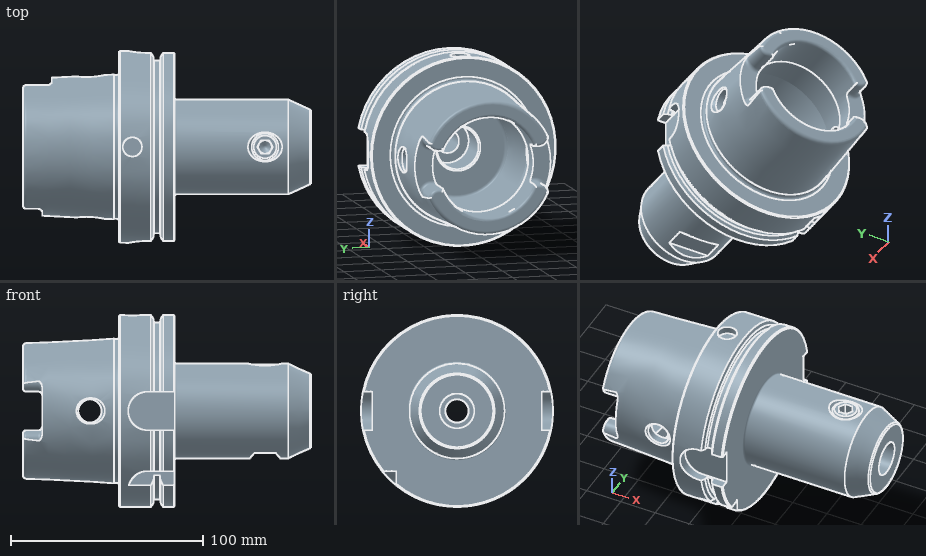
import cadquery as cq
import math

SHANK_END_X = -50.0
TIP_X = 100.0
FLANGE_WIDTH = 29.0

TAPER_BIG_R = 75.46 / 2
TAPER_BIG_X = -2.6
TAPER_SLOPE = 0.05
TAPER_SMALL_R = TAPER_BIG_R - TAPER_SLOPE * (TAPER_BIG_X - SHANK_END_X)
RELIEF_DEPTH = 0.2
FOOT_FILLET = 1.3
FACE_RECESS_R = 39.6
FACE_RECESS_DEPTH = 0.1
MOUTH_ROUND = 1.75
RIM_ROUND = 2.0

FLANGE_R = 50.0
FLANGE_EDGE = 0.6
GROOVE_X = 19.8
GROOVE_R = 46.1
GROOVE_FLOOR_HALF = 1.5
GROOVE_KNEE_HALF = 1.9
GROOVE_MOUTH_HALF = 3.2
GROOVE_BEVEL_DEPTH = 1.9

NOSE_R = 49.5 / 2
NOSE_ROOT_FILLET = 1.0
NOSE_CONE_X = 88.0
NOSE_TIP_R = 19.6
NOSE_TIP_CHAMFER = 0.8

BORE_R = 53.0 / 2
BORE_FLOOR_R = 49.5 / 2
CHAMBER_R = 63.0 / 2
LIP_LENGTH = 19.7
LIP_CONE_LENGTH = 2.9
CHAMBER_END_X = -9.8
CHAMBER_CONE_ANGLE = 15.0
THREAD_R = 22.38 / 2
THREAD_CHAMFER_R = 12.0
THREAD_DEPTH = 20.0
COOLANT_R = 12.0 / 2

TOOL_BORE_R = 18.0 / 2
TOOL_BORE_DEPTH = 50.0
SCREW_X = 76.0
SCREW_R = 14.0 / 2
SCREW_CHAMFER = (14.0 - 11.84) / 2
SCREW_TOP_Z = 24.4
SCREW_BOTTOM_Z = TOOL_BORE_R
SCREW_SINK_R = 17.8 / 2
HEX_FLATS = 7.0
HEX_DEPTH = 6.0
DRILL_POINT_SLOPE = 30.0

FLAT_Z = -21.9
FLAT_HALF = 5.5
FLAT_MOUTH_HALF = 8.0

SLOT_HALF = 10.0
SLOT_DEPTHS = {-1: 10.0, 1: 15.0}
LUG_CORNER_R = 5.0
LUG_FLANK_Y = 32.25
SLOT_FLOOR_FILLET = 2.0

CROSS_HOLE_X = -15.1
CROSS_HOLE_R = 12.0 / 2
CROSS_SINK_R = 7.4
CHIP_HOLE_X = 7.0
CHIP_HOLE_R = 10.0 / 2
CHIP_HOLE_DEPTH = 4.5

KEYWAY_HALF = 10.0
KEYWAY_START_X = 4.8
KEYWAY_FLOOR_Y = 44.0
NOTCH_FLOOR_Y = 31.7
NOTCH_TOP_Z = -31.3

CLEAR = 5.0
EDGE_MARGIN = 1.0


def revolve_about_x(profile):
    return profile.close().revolve(360, (0, 0, 0), (1, 0, 0))


def outer_body():
    relief_r = TAPER_BIG_R - RELIEF_DEPTH
    profile = (
        cq.Workplane("XY")
        .moveTo(SHANK_END_X, 0)
        .lineTo(SHANK_END_X, TAPER_SMALL_R)
        .lineTo(TAPER_BIG_X, TAPER_BIG_R)
        .lineTo(TAPER_BIG_X + RELIEF_DEPTH, relief_r)
        .lineTo(FACE_RECESS_DEPTH - FOOT_FILLET, relief_r)
        .radiusArc((FACE_RECESS_DEPTH, relief_r + FOOT_FILLET), -FOOT_FILLET)
        .lineTo(FACE_RECESS_DEPTH, FACE_RECESS_R)
        .lineTo(0, FACE_RECESS_R)
        .lineTo(0, FLANGE_R - FLANGE_EDGE)
        .lineTo(FLANGE_EDGE, FLANGE_R)
        .lineTo(GROOVE_X - GROOVE_MOUTH_HALF, FLANGE_R)
        .lineTo(GROOVE_X - GROOVE_KNEE_HALF, FLANGE_R - GROOVE_BEVEL_DEPTH)
        .lineTo(GROOVE_X - GROOVE_FLOOR_HALF, GROOVE_R)
        .lineTo(GROOVE_X + GROOVE_FLOOR_HALF, GROOVE_R)
        .lineTo(GROOVE_X + GROOVE_KNEE_HALF, FLANGE_R - GROOVE_BEVEL_DEPTH)
        .lineTo(GROOVE_X + GROOVE_MOUTH_HALF, FLANGE_R)
        .lineTo(FLANGE_WIDTH - FLANGE_EDGE, FLANGE_R)
        .lineTo(FLANGE_WIDTH, FLANGE_R - FLANGE_EDGE)
        .lineTo(FLANGE_WIDTH, NOSE_R + NOSE_ROOT_FILLET)
        .radiusArc((FLANGE_WIDTH + NOSE_ROOT_FILLET, NOSE_R), -NOSE_ROOT_FILLET)
        .lineTo(NOSE_CONE_X, NOSE_R)
        .lineTo(TIP_X - NOSE_TIP_CHAMFER, NOSE_TIP_R)
        .lineTo(TIP_X, NOSE_TIP_R - NOSE_TIP_CHAMFER)
        .lineTo(TIP_X, 0)
    )
    return revolve_about_x(profile)


def inner_bores():
    lip_x = SHANK_END_X + LIP_LENGTH
    cone_length = (CHAMBER_R - BORE_R) / math.tan(math.radians(CHAMBER_CONE_ANGLE))
    cone_end_x = CHAMBER_END_X + cone_length
    floor_fillet = BORE_R - BORE_FLOOR_R
    floor_x = cone_end_x + floor_fillet
    thread_chamfer = THREAD_CHAMFER_R - THREAD_R
    thread_end_x = floor_x + THREAD_DEPTH
    tool_bore_x = TIP_X - TOOL_BORE_DEPTH
    profile = (
        cq.Workplane("XY")
        .moveTo(SHANK_END_X, 0)
        .lineTo(SHANK_END_X, BORE_R + MOUTH_ROUND)
        .radiusArc((SHANK_END_X + MOUTH_ROUND, BORE_R), -MOUTH_ROUND)
        .lineTo(lip_x, BORE_R)
        .lineTo(lip_x + LIP_CONE_LENGTH, CHAMBER_R)
        .lineTo(CHAMBER_END_X, CHAMBER_R)
        .lineTo(cone_end_x, BORE_R)
        .radiusArc((floor_x, BORE_FLOOR_R), floor_fillet)
        .lineTo(floor_x, THREAD_CHAMFER_R)
        .lineTo(floor_x + thread_chamfer, THREAD_R)
        .lineTo(thread_end_x, THREAD_R)
        .lineTo(thread_end_x, COOLANT_R)
        .lineTo(tool_bore_x, COOLANT_R)
        .lineTo(tool_bore_x, TOOL_BORE_R)
        .lineTo(TIP_X, TOOL_BORE_R)
        .lineTo(TIP_X, 0)
    )
    return revolve_about_x(profile)


def drive_slot(side, depth):
    """Slot through one wall of the shank, with rounded lug corners, floor and mouth edges."""
    inner_y = side * (BORE_R - CLEAR)
    flank_y = side * LUG_FLANK_Y
    tangent_y = side * (LUG_FLANK_Y - LUG_CORNER_R)
    outer_y = side * (TAPER_BIG_R + CLEAR)
    shoulder_z = SLOT_HALF + LUG_CORNER_R
    outer_z = shoulder_z + CLEAR
    bend = side * LUG_CORNER_R
    plane = cq.Workplane("YZ", origin=(SHANK_END_X, 0, 0))
    prism = (
        plane
        .moveTo(inner_y, -SLOT_HALF)
        .lineTo(tangent_y, -SLOT_HALF)
        .radiusArc((flank_y, -shoulder_z), bend)
        .lineTo(flank_y, -outer_z)
        .lineTo(outer_y, -outer_z)
        .lineTo(outer_y, outer_z)
        .lineTo(flank_y, outer_z)
        .lineTo(flank_y, shoulder_z)
        .radiusArc((tangent_y, SLOT_HALF), bend)
        .lineTo(inner_y, SLOT_HALF)
        .close()
        .extrude(depth)
    )
    block = (
        plane
        .center((inner_y + outer_y) / 2, 0)
        .rect(abs(outer_y - inner_y), 2 * outer_z)
        .extrude(depth + CLEAR)
    )
    inside_y = inner_y + side * EDGE_MARGIN
    outside_y = outer_y - side * EDGE_MARGIN
    inside_z = outer_z - EDGE_MARGIN

    def slot_edges(x):
        return cq.selectors.BoxSelector(
            (x - EDGE_MARGIN, inside_y, -inside_z),
            (x + EDGE_MARGIN, outside_y, inside_z),
        )

    lugs = block.cut(prism)
    lugs = lugs.edges(slot_edges(SHANK_END_X + depth)).fillet(SLOT_FLOOR_FILLET)
    lugs = lugs.edges(slot_edges(SHANK_END_X)).fillet(MOUTH_ROUND)
    return block.cut(lugs)


def cone_sink(plane, origin, surface_distance, surface_radius, hole_radius):
    """45 degree countersink reaching surface_radius at surface_distance from the axis."""
    depth = surface_radius - hole_radius
    return (
        cq.Workplane(plane, origin=origin)
        .workplane(offset=surface_distance - depth)
        .circle(hole_radius)
        .workplane(offset=depth + CLEAR)
        .circle(surface_radius + CLEAR)
        .loft(ruled=True)
    )


def cross_hole():
    surface_r = TAPER_BIG_R - TAPER_SLOPE * (TAPER_BIG_X - CROSS_HOLE_X)
    origin = (CROSS_HOLE_X, 0, 0)
    reach = TAPER_BIG_R + CLEAR
    hole = cq.Workplane("XZ", origin=origin).circle(CROSS_HOLE_R).extrude(reach, both=True)
    for plane in ("XZ", "ZX"):
        hole = hole.union(cone_sink(plane, origin, surface_r, CROSS_SINK_R, CROSS_HOLE_R))
    return hole


def chip_hole():
    return (
        cq.Workplane("XY", origin=(CHIP_HOLE_X, 0, FLANGE_R - CHIP_HOLE_DEPTH))
        .circle(CHIP_HOLE_R)
        .extrude(CHIP_HOLE_DEPTH + CLEAR)
    )


def keyway(side, floor_y, centre_z):
    """Round-ended slot, open toward +X, sunk along Y down to floor_y."""
    centre_x = KEYWAY_START_X + KEYWAY_HALF
    height = FLANGE_R + CLEAR - floor_y
    return (
        cq.Workplane("XZ", origin=(0, side * floor_y, 0))
        .moveTo(FLANGE_WIDTH, centre_z - KEYWAY_HALF)
        .lineTo(centre_x, centre_z - KEYWAY_HALF)
        .threePointArc((KEYWAY_START_X, centre_z), (centre_x, centre_z + KEYWAY_HALF))
        .lineTo(FLANGE_WIDTH, centre_z + KEYWAY_HALF)
        .close()
        .extrude(-side * height)
    )


def balancing_flat():
    return (
        cq.Workplane("XZ", origin=(SCREW_X, 0, 0))
        .moveTo(-FLAT_HALF, FLAT_Z)
        .lineTo(FLAT_HALF, FLAT_Z)
        .lineTo(FLAT_MOUTH_HALF, -NOSE_R)
        .lineTo(-FLAT_MOUTH_HALF, -NOSE_R)
        .close()
        .extrude(NOSE_R, both=True)
    )


def screw_hole():
    origin = (SCREW_X, 0, 0)
    hole = cq.Workplane("XY", origin=origin).circle(SCREW_R).extrude(NOSE_R + CLEAR)
    return hole.union(cone_sink("XY", origin, NOSE_R, SCREW_SINK_R, SCREW_R))


def build_holder():
    body = outer_body().cut(inner_bores())
    rim = cq.selectors.RadiusNthSelector(-1)
    body = body.faces("<X").edges(rim).fillet(RIM_ROUND)
    for side, depth in SLOT_DEPTHS.items():
        body = body.cut(drive_slot(side, depth))
    body = body.cut(cross_hole()).cut(chip_hole())
    for side in (-1, 1):
        body = body.cut(keyway(side, KEYWAY_FLOOR_Y, 0))
    body = body.cut(keyway(-1, NOTCH_FLOOR_Y, NOTCH_TOP_Z - KEYWAY_HALF))
    return body.cut(balancing_flat()).cut(screw_hole())


def build_set_screw():
    socket_tip = HEX_FLATS / 2 * math.tan(math.radians(DRILL_POINT_SLOPE))
    hex_corners = HEX_FLATS / math.cos(math.pi / 6)
    screw = (
        cq.Workplane("XY", origin=(SCREW_X, 0, SCREW_BOTTOM_Z))
        .circle(SCREW_R)
        .extrude(SCREW_TOP_Z - SCREW_BOTTOM_Z)
        .faces(">Z")
        .chamfer(SCREW_CHAMFER)
    )
    floor_z = SCREW_TOP_Z - HEX_DEPTH
    socket = (
        cq.Workplane("XY", origin=(SCREW_X, 0, floor_z))
        .polygon(6, hex_corners)
        .extrude(HEX_DEPTH)
    )
    drill_point = cq.Workplane(
        cq.Solid.makeCone(HEX_FLATS / 2, 0, socket_tip, pnt=(SCREW_X, 0, floor_z), dir=(0, 0, -1))
    )
    return screw.cut(socket).cut(drill_point)


holder = build_holder()
set_screw = build_set_screw()
result = cq.Compound.makeCompound([holder.val(), set_screw.val()])